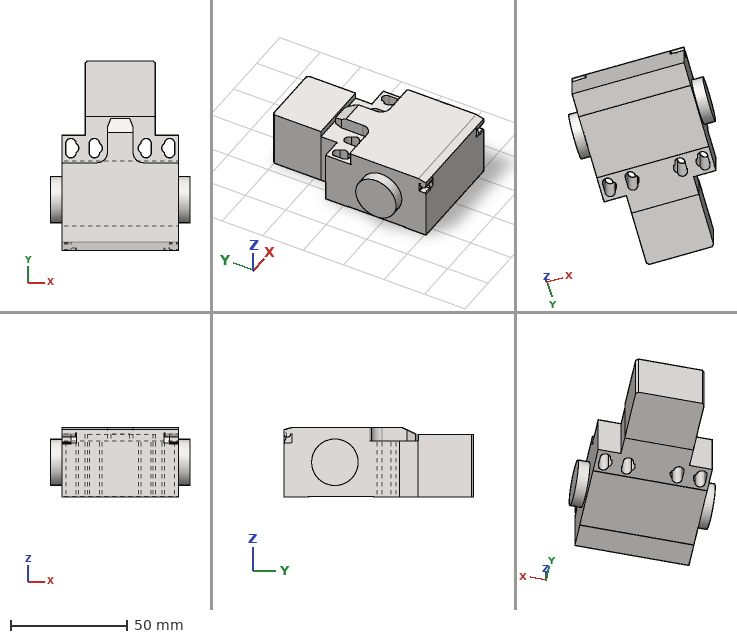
import cadquery as cq

LENGTH = 81.5
OVERALL_WIDTH = 60.0
HEIGHT = 30.0

BODY_WIDTH = 50.1
SHOULDER_Z = 24.2
SHOULDER_Y = 49.65
NECK_WIDTH = 30.1
HEAD_Y = 57.65

LID_Y = 37.75
LID_CORNER_RADIUS = 0.8
TONGUE_WIDTH = 11.1
TONGUE_FILLET = 4.4
TONGUE_TAPER_Y = 53.0
TONGUE_END_Y = 56.75
TONGUE_END_WIDTH = 8.15
TONGUE_SLOPE_Y = 50.7
TONGUE_SLOPE_DROP = 2.85
BEVEL_RUN = 3.7
BEVEL_DROP = 1.0

BOSS_DIAMETER = 20.0
BOSS_Y = 21.9
BOSS_Z = HEIGHT / 2

SLOT_WIDTH = 4.4
SLOT_LENGTH = 8.2
SLOT_Y = 44.0
SLOT_X_POSITIONS = (11.1, 21.2)
SLOT_BULGE = 1.15

RELIEF_START_Y = 10.5
RELIEF_END_Y = 38.6
RELIEF_DEPTH = 0.25

NOTCH_WIDTH = 6.3
NOTCH_DEPTH = 3.4
NOTCH_FLOOR_Z = 23.2
NOTCH_CHAMFER = 0.5
NOTCH_REAR_RUN = 0.25
NOTCH_DEEP_WIDTH = 3.9
RAMP_TOP_Y = 1.1
HOOK_RADIUS = 1.5
HOOK_Z = 27.2
HOOK_GAP = 0.5
HOOK_GAP_TOP_Z = 27.55

HEAD_HEIGHT = 27.0
HEAD_CHAMFER = 1.0


def box(x_start, x_end, y_start, y_end, z_start, z_end):
    """Block given by its limits along the three axes."""
    size = (x_end - x_start, y_end - y_start, z_end - z_start)
    return cq.Workplane("XY").box(*size, centered=False).translate((x_start, y_start, z_start))


def side_profile(points, x_start, width):
    """Extrude a closed (y, z) outline along X."""
    return cq.Workplane("YZ", origin=(x_start, 0, 0)).polyline(points).close().extrude(width)


def make_base():
    """Wide block and narrower neck, up to the shoulder."""
    wide = box(-BODY_WIDTH / 2, BODY_WIDTH / 2, 0, SHOULDER_Y, 0, SHOULDER_Z)
    neck = box(-NECK_WIDTH / 2, NECK_WIDTH / 2, SHOULDER_Y, HEAD_Y, 0, SHOULDER_Z)
    return wide.union(neck)


def make_lid():
    """Raised T-shaped lid with a tapered, sloping tongue and a bevelled front edge."""
    half_body = BODY_WIDTH / 2
    half_tongue = TONGUE_WIDTH / 2
    half_end = TONGUE_END_WIDTH / 2
    thickness = HEIGHT - SHOULDER_Z
    plate = (
        box(-half_body, half_body, 0, LID_Y, SHOULDER_Z, HEIGHT)
        .edges("|Z and >Y")
        .fillet(LID_CORNER_RADIUS)
    )
    tongue = (
        cq.Workplane("XY", origin=(0, 0, SHOULDER_Z))
        .moveTo(-half_tongue - TONGUE_FILLET, LID_Y)
        .radiusArc((-half_tongue, LID_Y + TONGUE_FILLET), -TONGUE_FILLET)
        .lineTo(-half_tongue, TONGUE_TAPER_Y)
        .lineTo(-half_end, TONGUE_END_Y)
        .lineTo(half_end, TONGUE_END_Y)
        .lineTo(half_tongue, TONGUE_TAPER_Y)
        .lineTo(half_tongue, LID_Y + TONGUE_FILLET)
        .radiusArc((half_tongue + TONGUE_FILLET, LID_Y), -TONGUE_FILLET)
        .close()
        .extrude(thickness)
    )
    slope = side_profile(
        [(TONGUE_SLOPE_Y, HEIGHT), (TONGUE_END_Y, HEIGHT), (TONGUE_END_Y, HEIGHT - TONGUE_SLOPE_DROP)],
        -half_tongue,
        TONGUE_WIDTH,
    )
    bevel = side_profile(
        [(0, HEIGHT), (BEVEL_RUN, HEIGHT), (0, HEIGHT - BEVEL_DROP)],
        -half_body,
        BODY_WIDTH,
    )
    return plate.union(tongue).cut(slope).cut(bevel)


def make_bosses():
    """One cylinder that runs through the housing and stands out on both sides."""
    return (
        cq.Workplane("YZ", origin=(-OVERALL_WIDTH / 2, 0, 0))
        .center(BOSS_Y, BOSS_Z)
        .circle(BOSS_DIAMETER / 2)
        .extrude(OVERALL_WIDTH)
    )


def make_mounting_slot(x, inward):
    """Vertical through slot with a round bulge; inward is the X direction of the bulge."""
    slot = cq.Workplane("XY").center(x, SLOT_Y).slot2D(SLOT_LENGTH, SLOT_WIDTH, 90).extrude(SHOULDER_Z)
    bulge = (
        cq.Workplane("XY")
        .center(x + inward * SLOT_BULGE, SLOT_Y)
        .circle(SLOT_WIDTH / 2)
        .extrude(SHOULDER_Z)
    )
    return slot.union(bulge)


def make_left_notch():
    """Material removed at the -X corner: deep pocket, ramp and end gap around the hook lip."""
    outer_x = -BODY_WIDTH / 2
    inner_x = outer_x + NOTCH_WIDTH
    deep = side_profile(
        [
            (0, HOOK_Z),
            (NOTCH_DEPTH, HOOK_Z),
            (NOTCH_DEPTH, NOTCH_FLOOR_Z + NOTCH_CHAMFER),
            (NOTCH_DEPTH - NOTCH_REAR_RUN, NOTCH_FLOOR_Z),
            (NOTCH_CHAMFER, NOTCH_FLOOR_Z),
            (0, NOTCH_FLOOR_Z - NOTCH_CHAMFER),
        ],
        outer_x,
        NOTCH_DEEP_WIDTH,
    )
    ramp = side_profile(
        [(0, HOOK_Z), (RAMP_TOP_Y, HOOK_Z), (RAMP_TOP_Y, HOOK_Z - HOOK_RADIUS), (0, NOTCH_FLOOR_Z)],
        outer_x + NOTCH_DEEP_WIDTH,
        NOTCH_WIDTH - NOTCH_DEEP_WIDTH,
    )
    hook = (
        cq.Workplane("YZ", origin=(outer_x, 0, 0))
        .center(HOOK_RADIUS, HOOK_Z)
        .circle(HOOK_RADIUS)
        .extrude(NOTCH_WIDTH - HOOK_GAP)
    )
    gap = box(inner_x - HOOK_GAP, inner_x, 0, RAMP_TOP_Y, HOOK_Z, HOOK_GAP_TOP_Z)
    return deep.union(ramp).cut(hook).union(gap)


def make_housing():
    housing = make_base().union(make_lid()).union(make_bosses())
    for x in SLOT_X_POSITIONS:
        housing = housing.cut(make_mounting_slot(-x, 1)).cut(make_mounting_slot(x, -1))
    notch = make_left_notch()
    housing = housing.cut(notch).cut(notch.mirror("YZ"))
    relief = box(-BODY_WIDTH / 2, BODY_WIDTH / 2, RELIEF_START_Y, RELIEF_END_Y, 0, RELIEF_DEPTH)
    return housing.cut(relief)


def make_head():
    """Plain block behind the neck with its two rear vertical edges chamfered."""
    return (
        box(-NECK_WIDTH / 2, NECK_WIDTH / 2, HEAD_Y, LENGTH, 0, HEAD_HEIGHT)
        .edges("|Z and >Y")
        .chamfer(HEAD_CHAMFER)
    )


housing = make_housing()
head = make_head()
result = cq.Compound.makeCompound([housing.val(), head.val()])